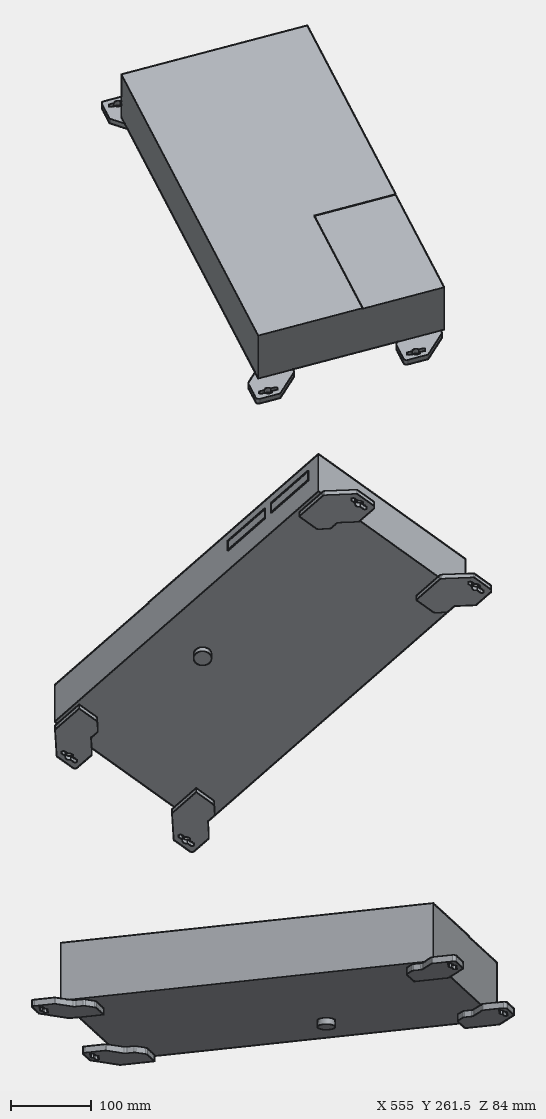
import cadquery as cq

overall_width = 555.0
overall_height = 84.0
housing_width = 487.5
housing_depth = 246.0
bracket_thickness = 8.5

cover_width = 172.5
cover_depth = 107.5
cover_drop = 1.0

plate_width = 69.0
plate_height = 19.0
plate_thickness = 1.0
plate_lefts = (-225.5, -145.5)
plate_middle_z = 57.0

bracket_overhang = 14.5
bracket_pitch = 195.5
bracket_depth = 60.5
bracket_length = 74.5
straight_edge = 31.0
step_start = 50.0
step_end = 62.5
corner_radius = 4.0
slant_end_radius = 2.0
step_radius = 5.0

keyhole_x = 10.0
keyhole_y = 19.0
keyhole_length = 24.5
keyhole_slot_width = 5.0
keyhole_diameter = 10.0

foot_diameter = 22.0
foot_x = 42.0
foot_from_back = 65.0

housing_back = housing_depth / 2
bracket_front = -housing_depth / 2 - bracket_overhang


def make_housing():
    return (
        cq.Workplane("XY")
        .workplane(offset=bracket_thickness)
        .rect(housing_width, housing_depth)
        .extrude(overall_height - bracket_thickness)
    )


def make_cover_recess():
    return cq.Workplane("XY").box(cover_width, cover_depth, cover_drop, centered=False).translate(
        (housing_width / 2 - cover_width, housing_back - cover_depth, overall_height - cover_drop)
    )


def make_back_plate(left):
    return cq.Workplane("XY").box(plate_width, plate_thickness, plate_height, centered=False).translate(
        (left, housing_back, plate_middle_z - plate_height / 2)
    )


def make_bracket():
    """Left bracket with its outer front corner at the origin; all slanted edges run at 45 degrees."""
    step_y = step_start - straight_edge
    inner_y = step_y + bracket_length - step_end
    slant = bracket_depth - straight_edge
    corners = [
        (0, 0, corner_radius),
        (straight_edge, 0, slant_end_radius),
        (step_start, step_y, step_radius),
        (step_end, step_y, corner_radius),
        (bracket_length, inner_y, step_radius),
        (bracket_length, bracket_depth, 0),
        (slant, bracket_depth, slant_end_radius),
        (0, straight_edge, slant_end_radius),
    ]
    outline = [(x, y) for x, y, radius in corners]
    bracket = cq.Workplane("XY").polyline(outline).close().extrude(bracket_thickness)
    for x, y, radius in corners:
        if radius > 0:
            corner = cq.selectors.NearestToPointSelector((x, y, bracket_thickness / 2))
            bracket = bracket.edges(corner).fillet(radius)

    keyhole = cq.Workplane("XY").center(keyhole_x, keyhole_y)
    slot = keyhole.slot2D(keyhole_length, keyhole_slot_width, 90).extrude(bracket_thickness)
    hole = keyhole.circle(keyhole_diameter / 2).extrude(bracket_thickness)
    return bracket.cut(slot).cut(hole)


def make_foot():
    return (
        cq.Workplane("XY")
        .center(foot_x, housing_back - foot_from_back)
        .circle(foot_diameter / 2)
        .extrude(bracket_thickness)
    )


result = make_housing().cut(make_cover_recess()).union(make_foot())

for plate_left in plate_lefts:
    result = result.union(make_back_plate(plate_left))

for row in range(2):
    row_y = bracket_front + row * bracket_pitch
    left_bracket = make_bracket().translate((-overall_width / 2, row_y, 0))
    result = result.union(left_bracket).union(left_bracket.mirror("YZ"))